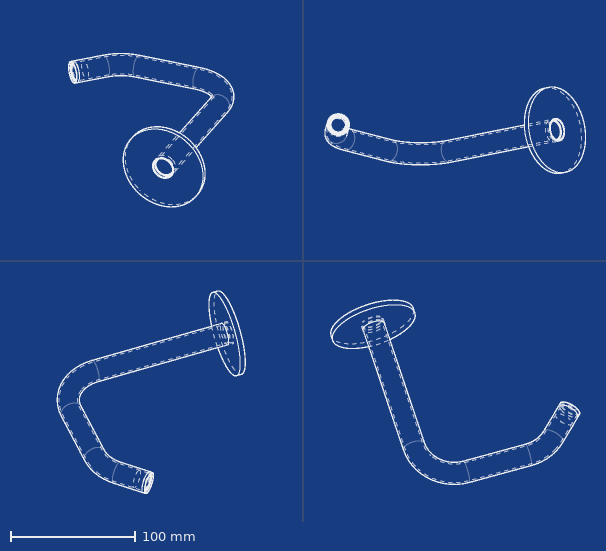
import cadquery as cq
import math

FLANGE_DIAMETER = 70.0
FLANGE_THICKNESS = 4.5
FLANGE_HOLE_DIAMETER = 18.5

TUBE_DIAMETER = 18.0
BORE_DIAMETER = 14.9
SPOUT_REACH_Y = 159.0
BEND_RADIUS = 34.0
MIDDLE_LENGTH = 52.1
OUTLET_LENGTH = 28.3
OUTLET_ANGLE = 45

MOUTH_DIAMETER = 16.5
MOUTH_DEPTH = 2.5
CONE_DIAMETER = 16.0
CONE_DEPTH = 0.5

INSERT_LENGTH = 10.0
INSERT_SETBACK = 0.9
RECESS_DIAMETER = 11.7
RECESS_DEPTH = 0.7
RECESS_RIM_DIAMETER = 13.4
RECESS_RIM_DEPTH = 0.3

arm_y = SPOUT_REACH_Y - TUBE_DIAMETER / 2
stem_end_y = arm_y - BEND_RADIUS
middle_end_x = -BEND_RADIUS - MIDDLE_LENGTH
stem_bend_center = cq.Vector(-BEND_RADIUS, stem_end_y, 0)
outlet_bend_center = cq.Vector(middle_end_x, stem_end_y, 0)


def direction(angle):
    """Unit vector in the XY plane at an angle, in degrees, from the +X axis."""
    turn = math.radians(angle)
    return cq.Vector(math.cos(turn), math.sin(turn), 0)


def bend_point(center, angle):
    """Point on a bend of the centreline, at an angle from the +X axis."""
    return center + direction(angle) * BEND_RADIUS


outlet_direction = direction(180 + OUTLET_ANGLE)
outlet_start = bend_point(outlet_bend_center, 90 + OUTLET_ANGLE)
outlet_end = outlet_start + outlet_direction * OUTLET_LENGTH

UP = cq.Vector(0, 0, 1)
wall_plane = cq.Plane(cq.Vector(0, 0, 0), xDir=UP, normal=cq.Vector(0, -1, 0))
outlet_plane = cq.Plane(outlet_end, xDir=UP, normal=outlet_direction)


def disc(plane, diameter, start, length):
    """Cylinder going into the tube from a given depth below an end plane."""
    return cq.Workplane(plane).workplane(offset=-start).circle(diameter / 2).extrude(-length)


def cone(plane, outer_diameter, inner_diameter, start, length):
    """Cone that narrows into the tube from a given depth below an end plane."""
    base = cq.Workplane(plane).workplane(offset=-start).circle(outer_diameter / 2)
    return base.workplane(offset=-length).circle(inner_diameter / 2).loft()


def make_flange():
    """Round wall plate with a clearance hole around the tube."""
    plate = disc(wall_plane, FLANGE_DIAMETER, 0, FLANGE_THICKNESS)
    return plate.cut(disc(wall_plane, FLANGE_HOLE_DIAMETER, 0, FLANGE_THICKNESS))


def make_tube():
    """Bent tube from the wall to the outlet, with the same mouth at both ends."""
    centreline = (
        cq.Workplane("XY")
        .lineTo(0, stem_end_y)
        .threePointArc(bend_point(stem_bend_center, 45), bend_point(stem_bend_center, 90))
        .lineTo(middle_end_x, arm_y)
        .threePointArc(bend_point(outlet_bend_center, 90 + OUTLET_ANGLE / 2), outlet_start)
        .lineTo(outlet_end.x, outlet_end.y)
    )
    section = cq.Workplane("XZ").circle(TUBE_DIAMETER / 2).circle(BORE_DIAMETER / 2)
    tube = section.sweep(centreline)
    for plane in (wall_plane, outlet_plane):
        tube = tube.cut(disc(plane, MOUTH_DIAMETER, 0, MOUTH_DEPTH))
        tube = tube.cut(cone(plane, CONE_DIAMETER, BORE_DIAMETER, MOUTH_DEPTH, CONE_DEPTH))
    return tube


def make_insert():
    """Plug in the outlet, with a countersunk recess in its outer face."""
    plug = disc(outlet_plane, BORE_DIAMETER, INSERT_SETBACK, INSERT_LENGTH)
    recess = disc(outlet_plane, RECESS_DIAMETER, INSERT_SETBACK, RECESS_DEPTH)
    rim = cone(outlet_plane, RECESS_RIM_DIAMETER, RECESS_DIAMETER, INSERT_SETBACK, RECESS_RIM_DEPTH)
    return plug.cut(recess).cut(rim)


flange = make_flange()
tube = make_tube()
insert = make_insert()

result = cq.Compound.makeCompound([flange.val(), tube.val(), insert.val()])